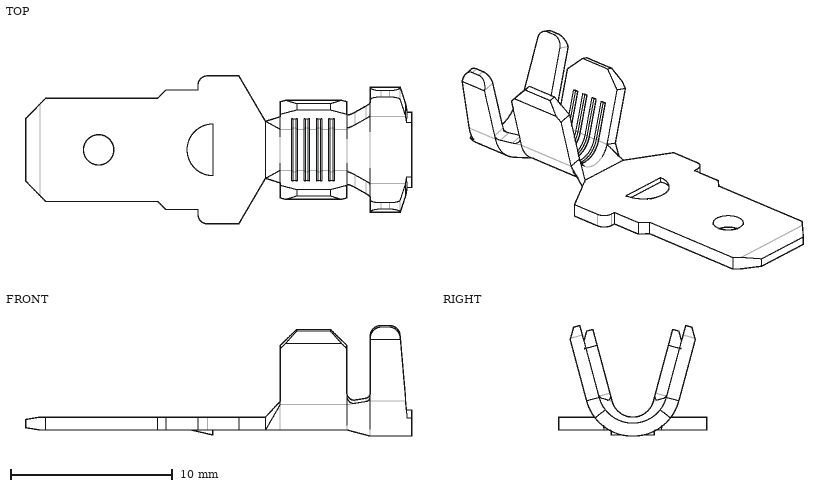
import cadquery as cq
import math

LENGTH = 23.88
SHEET = 0.8

NOSE_HALF = 1.93
NOSE_LENGTH = 1.25
BLADE_HALF = 3.2
STEP_START = 8.17
STEP_HALF = 3.7
STEP_RAMP = STEP_HALF - BLADE_HALF
STOP_X = 10.65
STOP_HALF = 4.58
STOP_RADIUS = 0.6
TAPER_X = 13.18
NECK_X = 14.83
NECK_HALF = 1.77
LEAD_IN_LENGTH = 0.88
LEAD_IN_DEPTH = 0.15
HOLE_X = 4.51
HOLE_RADIUS = 0.93

TONGUE_X = 11.58
TONGUE_DROP = 0.3
RECESS_RADIUS = 1.6
TONGUE_RADIUS = 1.34

WING_LEAN = 15.0
WRAP = 90.0 - WING_LEAN
SIN_WRAP = math.sin(math.radians(WRAP))
COS_WRAP = math.cos(math.radians(WRAP))
WING_LENGTH = 4.6
BEVEL_LENGTH = 0.7
BEVEL_DEPTH = SHEET / 2

WIRE_START = 15.74
WIRE_END = 19.87
WIRE_RADIUS = 1.31
WIRE_BASE = 0.0
WIRE_CORNER = 1.03

GRIP_START = 21.3
GRIP_RADIUS = 2.15
GRIP_BASE = -0.38
GRIP_TIP_RADIUS = 0.67
GRIP_ROOT_X = 23.5
GRIP_TAPER = 5.0
LIP_WRAP = 52.0

WEB_CORNER_RADIUS = 0.38
WEB_ARM = 1.43

GROOVE_COUNT = 4
FIRST_GROOVE_X = 16.62
GROOVE_PITCH = 0.76
GROOVE_WIDTH = 0.35
GROOVE_FLOOR = 0.17
GROOVE_DEPTH = 0.1
GROOVE_RISE = 2.45


def on_trough(radius, base, bore, angle):
    """Point (y, z) at an angle from straight down on a circle around a trough's centre."""
    turn = math.radians(angle)
    return radius * math.sin(turn), base + SHEET + bore - radius * math.cos(turn)


def trough_section(x, bore, base, wrap, arm=0.0):
    """Closed trough outline at x: two arcs, with straight arms of the given length if any."""
    outer = bore + SHEET
    rise_y = arm * math.cos(math.radians(wrap))
    rise_z = arm * math.sin(math.radians(wrap))
    inner_y, inner_z = on_trough(bore, base, bore, wrap)
    outer_y, outer_z = on_trough(outer, base, bore, wrap)
    section = cq.Workplane("YZ", origin=(x, 0, 0)).moveTo(-inner_y, inner_z)
    section = section.threePointArc((0, base + SHEET), (inner_y, inner_z))
    if arm:
        section = section.lineTo(inner_y + rise_y, inner_z + rise_z)
        section = section.lineTo(outer_y + rise_y, outer_z + rise_z)
    section = section.lineTo(outer_y, outer_z)
    section = section.threePointArc((0, base), (-outer_y, outer_z))
    if arm:
        section = section.lineTo(-outer_y - rise_y, outer_z + rise_z)
        section = section.lineTo(-inner_y - rise_y, inner_z + rise_z)
    return section.close()


def loft_between(first, second):
    """Ruled solid between two closed outlines."""
    wires = [first.wires().val(), second.wires().val()]
    return cq.Workplane(obj=cq.Solid.makeLoft(wires, True))


def with_mirror(body):
    """The body together with its mirror image across the XZ plane."""
    return body.union(body.mirror("XZ"))


def wing_plane(bore, base):
    """Plane on a +Y wing's outer face: X along the terminal, Y up the wing, normal inwards."""
    y, z = on_trough(bore + SHEET, base, bore, WRAP)
    return cq.Plane(origin=(0, y, z), xDir=(1, 0, 0), normal=(0, -SIN_WRAP, COS_WRAP))


def bevelled(wing, bore, base):
    """The +Y wing of a trough, thinned from the outside towards its tip."""
    y, z = on_trough(bore + SHEET, base, bore, WRAP)
    side = cq.Plane(origin=(0, y, z), xDir=(0, COS_WRAP, SIN_WRAP), normal=(1, 0, 0))
    profile = [
        (0, 0),
        (WING_LENGTH - BEVEL_LENGTH, 0),
        (WING_LENGTH, BEVEL_DEPTH),
        (WING_LENGTH, SHEET),
        (0, SHEET),
    ]
    allowed = cq.Workplane(side).polyline(profile).close().extrude(LENGTH)
    return wing.intersect(allowed)


def half_disc_wedge(radius, top):
    """Half disc whose underside slopes down to its straight edge at TONGUE_X."""
    slope = [(TONGUE_X - radius, top), (TONGUE_X, top), (TONGUE_X, top - TONGUE_DROP)]
    wedge = cq.Workplane("XZ").polyline(slope).close().extrude(radius, both=True)
    disc = cq.Workplane("XY", origin=(TONGUE_X, 0, top - SHEET)).circle(radius).extrude(2 * SHEET)
    return wedge.intersect(disc)


def blade():
    half_outline = [
        (0, NOSE_HALF),
        (NOSE_LENGTH, BLADE_HALF),
        (STEP_START, BLADE_HALF),
        (STEP_START + STEP_RAMP, STEP_HALF),
        (STOP_X, STEP_HALF),
        (STOP_X, STOP_HALF),
        (TAPER_X, STOP_HALF),
        (NECK_X, NECK_HALF),
    ]
    other_half = [(x, -y) for x, y in reversed(half_outline)]
    plate = cq.Workplane("XY").polyline(half_outline + other_half).close().extrude(SHEET)
    for y in (-STOP_HALF, STOP_HALF):
        corner = cq.selectors.NearestToPointSelector((STOP_X, y, SHEET / 2))
        plate = plate.edges("|Z").edges(corner).fillet(STOP_RADIUS)

    lead_in = [
        (0, LEAD_IN_DEPTH),
        (LEAD_IN_LENGTH, 0),
        (NECK_X, 0),
        (NECK_X, SHEET),
        (LEAD_IN_LENGTH, SHEET),
        (0, SHEET - LEAD_IN_DEPTH),
    ]
    side = cq.Workplane("XZ").polyline(lead_in).close().extrude(STOP_HALF, both=True)
    hole = cq.Workplane("XY", origin=(HOLE_X, 0, 0)).circle(HOLE_RADIUS).extrude(SHEET)
    plate = plate.intersect(side).cut(hole)
    return plate.cut(half_disc_wedge(RECESS_RADIUS, SHEET)).union(half_disc_wedge(TONGUE_RADIUS, 0))


def neck():
    """Flat strip at the blade that curls up into the conductor trough."""
    flat = cq.Workplane("YZ", origin=(NECK_X, 0, 0)).moveTo(-NECK_HALF, SHEET)
    flat = flat.lineTo(NECK_HALF, SHEET).lineTo(NECK_HALF, 0).lineTo(-NECK_HALF, 0).close()
    return loft_between(flat, trough_section(WIRE_START, WIRE_RADIUS, WIRE_BASE, WRAP))


def groove(x):
    """Trapezoidal groove around the conductor trough and up both wings."""
    profile = [
        (-GROOVE_WIDTH / 2, 0),
        (GROOVE_WIDTH / 2, 0),
        (GROOVE_FLOOR / 2, GROOVE_DEPTH),
        (-GROOVE_FLOOR / 2, GROOVE_DEPTH),
    ]
    y, z = on_trough(WIRE_RADIUS, WIRE_BASE, WIRE_RADIUS, WRAP)
    root = cq.Plane(origin=(x, y, z), xDir=(1, 0, 0), normal=(0, COS_WRAP, SIN_WRAP))
    arm = cq.Workplane(root).polyline(profile).close().extrude(GROOVE_RISE)
    bend = cq.Workplane(root).polyline(profile).close()
    bend = bend.revolve(WRAP, (0, -WIRE_RADIUS), (-1, -WIRE_RADIUS))
    return with_mirror(arm.union(bend))


def conductor_crimp():
    length = WIRE_END - WIRE_START
    trough = trough_section(WIRE_START, WIRE_RADIUS, WIRE_BASE, WRAP).extrude(length)
    outline = [
        (WIRE_START, 0),
        (WIRE_END, 0),
        (WIRE_END, WING_LENGTH - WIRE_CORNER),
        (WIRE_END - WIRE_CORNER, WING_LENGTH),
        (WIRE_START + WIRE_CORNER, WING_LENGTH),
        (WIRE_START, WING_LENGTH - WIRE_CORNER),
    ]
    plane = wing_plane(WIRE_RADIUS, WIRE_BASE)
    wing = cq.Workplane(plane).polyline(outline).close().extrude(SHEET)
    crimp = trough.union(with_mirror(bevelled(wing, WIRE_RADIUS, WIRE_BASE)))
    for index in range(GROOVE_COUNT):
        crimp = crimp.cut(groove(FIRST_GROOVE_X + index * GROOVE_PITCH))
    return crimp


def web():
    """Flaring trough between the crimps, its edges filleted into the wings on both sides."""
    front = trough_section(WIRE_END, WIRE_RADIUS, WIRE_BASE, WRAP, WEB_ARM)
    rear = trough_section(GRIP_START, GRIP_RADIUS, GRIP_BASE, WRAP, WEB_ARM)
    flare = loft_between(front, rear)

    front_y, front_z = on_trough(WIRE_RADIUS, WIRE_BASE, WIRE_RADIUS, WRAP)
    rear_y, rear_z = on_trough(GRIP_RADIUS, GRIP_BASE, GRIP_RADIUS, WRAP)
    front_floor = front_y * COS_WRAP + front_z * SIN_WRAP
    rear_floor = rear_y * COS_WRAP + rear_z * SIN_WRAP
    gap_top = rear_floor + 2 * WEB_ARM
    plane = cq.Plane(origin=(0, 0, 0), xDir=(1, 0, 0), normal=(0, -SIN_WRAP, COS_WRAP))
    gap = cq.Workplane(plane).moveTo(WIRE_END, front_floor).lineTo(GRIP_START, rear_floor)
    gap = gap.lineTo(GRIP_START, gap_top).lineTo(WIRE_END, gap_top).close().extrude(-STOP_HALF)
    for x, floor in ((WIRE_END, front_floor), (GRIP_START, rear_floor)):
        middle = plane.toWorldCoords((x, floor, -STOP_HALF / 2))
        corner = cq.selectors.NearestToPointSelector(middle.toTuple())
        gap = gap.edges(corner).fillet(WEB_CORNER_RADIUS)
    return flare.cut(with_mirror(gap))


def insulation_crimp():
    slope = math.tan(math.radians(GRIP_TAPER))
    root_z = on_trough(GRIP_RADIUS + SHEET, GRIP_BASE, GRIP_RADIUS, WRAP)[1]

    length = LENGTH - GRIP_START
    trough = trough_section(GRIP_START, GRIP_RADIUS, GRIP_BASE, WRAP).extrude(length)
    lip = trough_section(GRIP_START, GRIP_RADIUS, GRIP_BASE, LIP_WRAP).extrude(length)
    below = GRIP_BASE - root_z
    above = SHEET
    rear_gap = [
        (LENGTH, below),
        (GRIP_ROOT_X - slope * below, below),
        (GRIP_ROOT_X - slope * above, above),
        (LENGTH, above),
    ]
    behind = cq.Workplane("XZ", origin=(0, 0, root_z)).polyline(rear_gap).close()
    behind = behind.extrude(STOP_HALF, both=True)
    trough = trough.cut(behind.cut(lip))

    tip_x = GRIP_ROOT_X - slope * SIN_WRAP * WING_LENGTH
    outline = [(GRIP_START, 0), (GRIP_ROOT_X, 0), (tip_x, WING_LENGTH), (GRIP_START, WING_LENGTH)]
    plane = wing_plane(GRIP_RADIUS, GRIP_BASE)
    wing = cq.Workplane(plane).polyline(outline).close().extrude(SHEET)
    for x in (GRIP_START, tip_x):
        middle = plane.toWorldCoords((x, WING_LENGTH, SHEET / 2))
        corner = cq.selectors.NearestToPointSelector(middle.toTuple())
        wing = wing.edges(corner).fillet(GRIP_TIP_RADIUS)
    wing = bevelled(wing, GRIP_RADIUS, GRIP_BASE)
    return trough.union(with_mirror(wing))


result = blade().union(neck()).union(conductor_crimp()).union(web()).union(insulation_crimp())